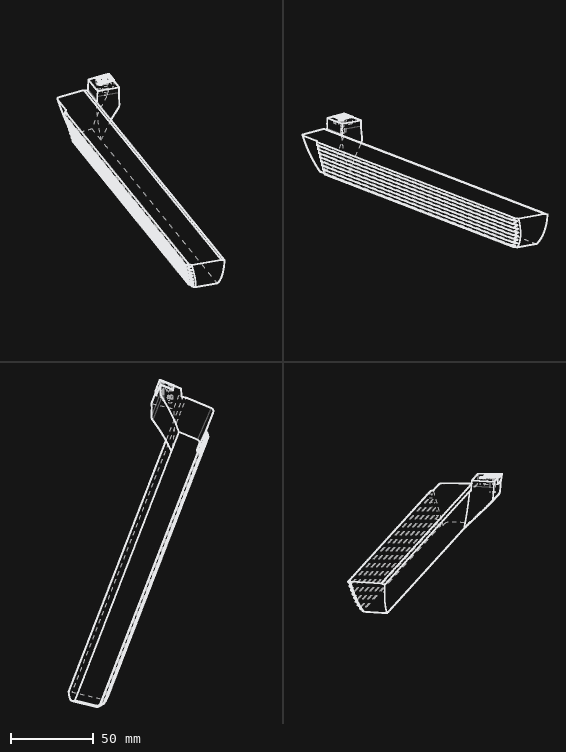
import cadquery as cq
import math

LENGTH = 239.5
SHANK_HEIGHT = 21.3
HEAD_HEIGHT = 27.3
INSERT_BACK = 39.3

BACK_BOTTOM = 22.8
BACK_TOP = 23.7
BACK_CHAMFER_WIDTH = 2.2
BACK_CHAMFER_DROP = 0.7

TOOTH_COUNT = 8
FRONT_SLOPE = 0.28
TOOTH_PITCH = 2.6
TOOTH_DEPTH = 2.2
TOOTH_ROOT_DROP = 0.35
FIRST_TIP_Z = 20.0
TOP_EDGE_Y = 1.2
FOOT_FRONT = 7.2

PLAIN_FACE_DEPTH = 2.9
PLAIN_FACE_LENGTH = 25.0
PLAIN_CORNER_RADIUS = 2.9

NEAR_END_SETBACK = 11.0
NEAR_END_TANGENT_Z = HEAD_HEIGHT
NEAR_END_LEAN = math.radians(11)
FAR_END_SETBACK = 10.3
FAR_END_TANGENT_Z = SHANK_HEIGHT
FAR_CHAMFER_LENGTH = 3.8
FAR_CHAMFER_DEPTH = 2.9

HEAD_BACK_TOP = 38.8
HEAD_BACK_BOTTOM = 38.3
HEAD_WALL_TOP = 25.0
HEAD_WALL_FOOT = 24.5
HEAD_WALL_RADIUS = 0.5
UNDERSIDE_START = 22.8
HEAD_KNEE_RADIUS = 3.5
HEAD_LENGTH = 19.0
HEAD_RELIEF_START_Z = 24.0
HEAD_RELIEF_MIDDLE = (23.2, 10.0)
HEAD_RELIEF_END = 30.0

INSERT_WIDTH = 9.5
INSERT_ANGLE = math.radians(80)
INSERT_THICKNESS = 4.0
INSERT_CLEARANCE_ANGLE = 7
INSERT_NOSE_RADIUS = 0.2
CHIP_LAND_WIDTH = 0.7
CHIP_RECESS_DEPTH = 0.2
CHIP_RECESS_TAPER = 70
POCKET_SCALE = 2.0
CORNER_RELIEF_RADIUS = 1.7
CORNER_RELIEF_SETBACK = 0.7

SCREW_HEAD_RADIUS = 2.9
SCREW_NECK_RADIUS = 1.7
SCREW_HEAD_HEIGHT = 2.2
SCREW_LENGTH = 9.5
SCREW_HEAD_DROP = 0.5
SOCKET_WIDTH = 2.6
SOCKET_DEPTH = 1.2

OUTSIDE = 12.0
INSERT_FLOOR = HEAD_HEIGHT - INSERT_THICKNESS


def front_y(z):
    """Y of the leaning plane through the tooth tips at height z."""
    return FRONT_SLOPE * (FIRST_TIP_Z - z)


def prism(points, direction):
    """Solid made by sliding a flat polygon along a direction, which may be oblique."""
    outline = cq.Wire.makePolygon([cq.Vector(*point) for point in points], close=True)
    return cq.Workplane(cq.Solid.extrudeLinear(outline, [], cq.Vector(*direction)))


def serrated_front():
    """Points (y, z) of the tooth outline, from the top face down to the underside."""
    points = [(TOP_EDGE_Y, SHANK_HEIGHT)]
    for number in range(TOOTH_COUNT):
        tip_z = FIRST_TIP_Z - number * TOOTH_PITCH
        tip_y = front_y(tip_z)
        points += [(tip_y, tip_z), (tip_y + TOOTH_DEPTH, tip_z - TOOTH_ROOT_DROP)]
    return points + [(FOOT_FRONT, 0)]


def shank_bar():
    back = [
        (BACK_BOTTOM, 0),
        (BACK_TOP, SHANK_HEIGHT - BACK_CHAMFER_DROP),
        (BACK_TOP - BACK_CHAMFER_WIDTH, SHANK_HEIGHT),
    ]
    return cq.Workplane("YZ").polyline(serrated_front() + back).close().extrude(LENGTH)


def head_block():
    """Head rising behind the shank, with a 45 degree underside and a hollow far side."""
    knee_z = HEAD_BACK_BOTTOM - UNDERSIDE_START
    foot_z = SHANK_HEIGHT - BACK_CHAMFER_DROP
    block = (
        cq.Workplane("YZ")
        .polyline([
            (BACK_BOTTOM, 0),
            (HEAD_BACK_BOTTOM, knee_z),
            (HEAD_BACK_TOP, HEAD_HEIGHT),
            (HEAD_WALL_TOP, HEAD_HEIGHT),
            (HEAD_WALL_FOOT, foot_z),
            (BACK_TOP, foot_z),
        ])
        .close()
        .extrude(HEAD_RELIEF_END)
    )
    knee = cq.selectors.NearestToPointSelector((HEAD_RELIEF_END / 2, HEAD_BACK_BOTTOM, knee_z))
    wall_foot = cq.selectors.NearestToPointSelector((HEAD_RELIEF_END / 2, HEAD_WALL_FOOT, foot_z))
    block = block.edges(knee).fillet(HEAD_KNEE_RADIUS)
    block = block.edges(wall_foot).fillet(HEAD_WALL_RADIUS)
    relief = (
        cq.Workplane("XZ", origin=(0, INSERT_BACK, 0))
        .moveTo(HEAD_LENGTH, HEAD_HEIGHT)
        .lineTo(HEAD_LENGTH, HEAD_RELIEF_START_Z)
        .threePointArc(HEAD_RELIEF_MIDDLE, (HEAD_RELIEF_END, 0))
        .lineTo(HEAD_RELIEF_END, HEAD_HEIGHT)
        .close()
        .extrude(INSERT_BACK)
    )
    return block.cut(relief)


def end_cutter(start, inward, setback, tangent_z, direction, slope=0):
    """Solid outside an end that is upright at tangent_z and curves in by setback at the underside.

    start and inward are (x, y): a point of the upright end at the underside's height, and the way
    into the part. The outline leans toward -Y by slope and slides along direction.
    """
    radius = (setback**2 + tangent_z**2) / (2 * setback)

    def place(depth, z):
        return cq.Vector(start[0] + inward[0] * depth, start[1] + inward[1] * depth - slope * z, z)

    half_z = tangent_z / 2
    half_depth = radius - math.sqrt(radius**2 - half_z**2)
    upper, middle, lower = place(0, tangent_z), place(half_depth, half_z), place(setback, 0)
    top = place(0, HEAD_HEIGHT + OUTSIDE)
    outer_top, outer_bottom = place(-OUTSIDE, HEAD_HEIGHT + OUTSIDE), place(-OUTSIDE, 0)
    outline = cq.Wire.assembleEdges([
        cq.Edge.makeLine(top, upper),
        cq.Edge.makeThreePointArc(upper, middle, lower),
        cq.Edge.makeLine(lower, outer_bottom),
        cq.Edge.makeLine(outer_bottom, outer_top),
        cq.Edge.makeLine(outer_top, top),
    ])
    return cq.Workplane(cq.Solid.extrudeLinear(outline, [], cq.Vector(*direction)))


def near_end_cutter():
    """Shapes the cutting end, whose curved face leans away from the head toward the front."""
    cosine, sine = math.cos(NEAR_END_LEAN), math.sin(NEAR_END_LEAN)
    reach = INSERT_BACK + OUTSIDE
    return end_cutter(
        (0, INSERT_BACK), (cosine, sine), NEAR_END_SETBACK, NEAR_END_TANGENT_Z,
        (sine * reach, -cosine * reach, 0),
    )


def far_end_cutter():
    return end_cutter(
        (LENGTH, INSERT_BACK), (-1, 0), FAR_END_SETBACK, FAR_END_TANGENT_Z, (0, -INSERT_BACK - OUTSIDE, 0)
    )


def far_chamfer_cutter():
    """Bevel between the far end and the toothed front, carried well past the front."""
    return end_cutter(
        (LENGTH, front_y(0) + FAR_CHAMFER_DEPTH), (-1, 0), FAR_END_SETBACK, FAR_END_TANGENT_Z,
        (-2 * FAR_CHAMFER_LENGTH, -2 * FAR_CHAMFER_DEPTH, 0), FRONT_SLOPE,
    )


def plain_face_cutter():
    """Removes the teeth beside the head, leaving a leaning face and a 45 degree run-out."""
    top_y = front_y(SHANK_HEIGHT)
    inner_y = top_y + PLAIN_FACE_DEPTH
    outer_y = top_y - PLAIN_FACE_DEPTH
    outline = [
        (0, inner_y, SHANK_HEIGHT),
        (PLAIN_FACE_LENGTH, inner_y, SHANK_HEIGHT),
        (PLAIN_FACE_LENGTH + inner_y - outer_y, outer_y, SHANK_HEIGHT),
        (0, outer_y, SHANK_HEIGHT),
    ]
    return prism(outline, (0, FRONT_SLOPE * SHANK_HEIGHT, -SHANK_HEIGHT))


def rhombus_corners(width):
    """Corners (x, y) of an insert outline, measured from its corner deepest in the pocket."""
    lean = width / math.tan(INSERT_ANGLE)
    return [(0, 0), (-width, 0), (-width - lean, width), (-lean, width)]


NOSE_SETBACK = INSERT_NOSE_RADIUS * (1 / math.tan(INSERT_ANGLE / 2) - 1)
INSERT_CORNER_X = INSERT_WIDTH * (1 + 1 / math.tan(INSERT_ANGLE)) - NOSE_SETBACK
INSERT_CORNER_Y = INSERT_BACK - INSERT_WIDTH
INSERT_CENTRE = (INSERT_CORNER_X / 2, (INSERT_CORNER_Y + INSERT_BACK) / 2)


def tapered_rhombus(width):
    """Rhombus tapering downward from the head's top face to the pocket floor."""
    return (
        cq.Workplane("XY", origin=(INSERT_CORNER_X, INSERT_CORNER_Y, HEAD_HEIGHT))
        .polyline(rhombus_corners(width))
        .close()
        .extrude(-INSERT_THICKNESS, taper=INSERT_CLEARANCE_ANGLE)
    )


def screw_envelope():
    """Countersunk screw without its socket; the holes it sits in have the same shape."""
    top = HEAD_HEIGHT - SCREW_HEAD_DROP
    neck = top - SCREW_HEAD_HEIGHT
    return (
        cq.Workplane("XZ")
        .polyline([
            (0, top),
            (SCREW_HEAD_RADIUS, top),
            (SCREW_NECK_RADIUS, neck),
            (SCREW_NECK_RADIUS, top - SCREW_LENGTH),
            (0, top - SCREW_LENGTH),
        ])
        .close()
        .revolve(360, (0, 0, 0), (0, 1, 0))
        .translate((*INSERT_CENTRE, 0))
    )


def make_holder():
    holder = shank_bar().union(head_block())
    holder = holder.cut(far_end_cutter()).cut(far_chamfer_cutter())
    holder = holder.cut(plain_face_cutter()).cut(near_end_cutter())
    corner_y = front_y(SHANK_HEIGHT / 2) + PLAIN_FACE_DEPTH
    end_x = math.tan(NEAR_END_LEAN) * (INSERT_BACK - corner_y) + NEAR_END_SETBACK / 4
    corner = cq.selectors.NearestToPointSelector((end_x, corner_y, SHANK_HEIGHT / 2))
    holder = holder.edges(corner).fillet(PLAIN_CORNER_RADIUS)
    corner_relief = (
        cq.Workplane("XY", origin=(0, 0, INSERT_FLOOR))
        .center(INSERT_CORNER_X - CORNER_RELIEF_SETBACK, INSERT_CORNER_Y)
        .circle(CORNER_RELIEF_RADIUS)
        .extrude(INSERT_THICKNESS)
    )
    pocket = tapered_rhombus(POCKET_SCALE * INSERT_WIDTH)
    return holder.cut(pocket).cut(corner_relief).cut(screw_envelope())


def make_insert():
    insert = tapered_rhombus(INSERT_WIDTH).edges("not (<Z or >Z)").fillet(INSERT_NOSE_RADIUS)
    chip_recess = (
        cq.Workplane("XY", origin=(INSERT_CORNER_X, INSERT_CORNER_Y, HEAD_HEIGHT))
        .polyline(rhombus_corners(INSERT_WIDTH))
        .close()
        .offset2D(-CHIP_LAND_WIDTH)
        .extrude(-CHIP_RECESS_DEPTH, taper=CHIP_RECESS_TAPER)
    )
    bore = (
        cq.Workplane("XY", origin=(*INSERT_CENTRE, HEAD_HEIGHT))
        .circle(SCREW_HEAD_RADIUS)
        .extrude(-SCREW_HEAD_DROP)
    )
    return insert.cut(chip_recess).cut(bore).cut(screw_envelope())


def make_screw():
    top = HEAD_HEIGHT - SCREW_HEAD_DROP
    socket = (
        cq.Workplane("XY", origin=(*INSERT_CENTRE, top))
        .polygon(6, SOCKET_WIDTH)
        .extrude(-SOCKET_DEPTH)
    )
    return screw_envelope().cut(socket)


holder = make_holder()
insert = make_insert()
screw = make_screw()

result = cq.Compound.makeCompound([body.solids().val() for body in (holder, insert, screw)])